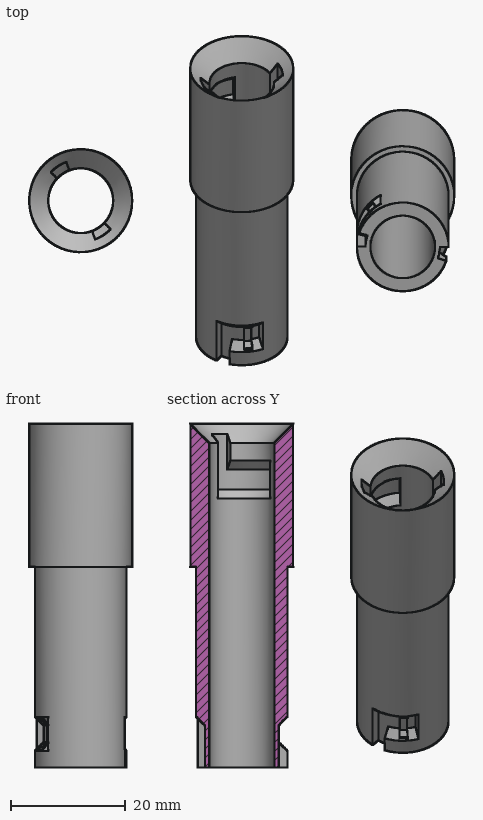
import cadquery as cq

length = 60.0
head_radius = 9.0
head_length = 24.95
shank_radius = 8.01
bore_radius = 5.65
mouth_depth = head_radius - bore_radius

groove_floor_radius = 6.5
groove_bottom = 2.95
groove_top = 8.9
entry_start = 163.8
entry_end = 181.7
groove_end = 224.8

ridge_height = 0.35
ridge_outer_radius = 7.75
ridge_start = 200.3
ridge_end = 211.3

channel_radius = 7.2
channel_top = 53.6
channel_height = 6.6
channel_start = 29.0
slot_start = 110.5
slot_end = 136.5

grooves_per_end = 2
clearance = 0.6


def sector(profile, start, end):
    """Sweep an (r, z) profile around Z between two angles in degrees."""
    solid = cq.Workplane("XZ").polyline(profile).close().revolve(end - start, (0, 0), (0, -1))
    return solid.rotate((0, 0, 0), (0, 0, 1), end)


def rectangle(r_inner, r_outer, z_low, z_high):
    return [(r_inner, z_low), (r_outer, z_low), (r_outer, z_high), (r_inner, z_high)]


def tapered(r_open, r_floor, z_low, z_high):
    """Groove section that narrows at 45 degrees from its opening to its floor."""
    depth = abs(r_open - r_floor)
    return [(r_open, z_low), (r_floor, z_low + depth), (r_floor, z_high - depth), (r_open, z_high)]


def around(solid):
    """Repeat a feature evenly around the tube axis."""
    copies = solid
    for index in range(1, grooves_per_end):
        copies = copies.union(solid.rotate((0, 0, 0), (0, 0, 1), 360.0 / grooves_per_end * index))
    return copies


def tube():
    profile = [
        (bore_radius, 0),
        (shank_radius, 0),
        (shank_radius, length - head_length),
        (head_radius, length - head_length),
        (head_radius, length),
        (bore_radius, length - mouth_depth),
    ]
    return sector(profile, 0, 360)


def outer_groove():
    open_radius = shank_radius + clearance
    low = groove_bottom - clearance
    high = groove_top + clearance
    section = tapered(open_radius, groove_floor_radius, low, high)
    leg = sector(section, entry_start, groove_end)
    ridge_section = tapered(
        open_radius, groove_floor_radius + ridge_height, low + ridge_height, high - ridge_height
    )
    ridge_gap = sector(ridge_section, ridge_start, ridge_end)
    ridge_zone = sector(
        rectangle(bore_radius, ridge_outer_radius, low, high), ridge_start, ridge_end
    )
    entry_top = groove_top - (shank_radius - groove_floor_radius)
    entry = sector(
        rectangle(groove_floor_radius, open_radius, -clearance, entry_top), entry_start, entry_end
    )
    return leg.cut(ridge_zone).union(ridge_gap).union(entry)


def inner_channel():
    open_radius = bore_radius - clearance
    low = channel_top - channel_height - clearance
    section = tapered(open_radius, channel_radius, low, channel_top + clearance)
    leg = sector(section, channel_start, slot_end)
    slot_floor = channel_top - channel_height / 2
    slot = sector(rectangle(open_radius, channel_radius, slot_floor, length), slot_start, slot_end)
    return leg.union(slot)


result = tube().cut(around(outer_groove())).cut(around(inner_channel()))